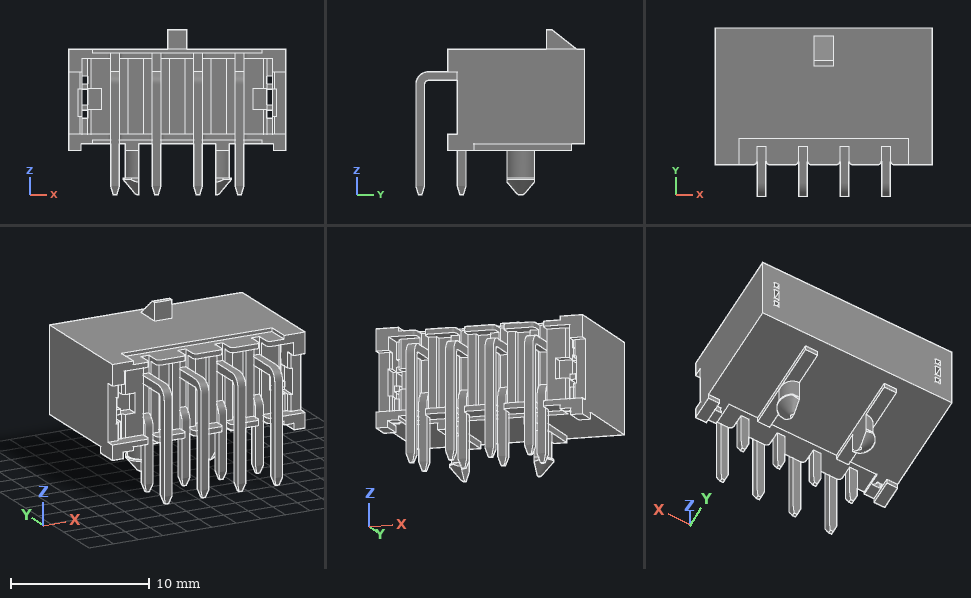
import cadquery as cq


WIDTH = 15.7
DEPTH = 9.92
TOP_Z = 7.35
BASE_Z = 0.5
HALF_WIDTH = WIDTH / 2

LIP_WIDTH = 12.28
LIP_LENGTH = 1.91
LIP_STEP = 0.28
LIP_CORNER_RADIUS = 0.3

OPENING_HALF_WIDTH = 6.88
OPENING_BOTTOM_Z = 1.19
OPENING_TOP_Z = 6.68
PIN_WALL_Y = 1.0

SIDE_SETBACK_Y = 0.69
SIDE_SETBACK_TOP_Z = 5.69
SIDE_CHAMFER_X = 0.17
SIDE_CHAMFER_Y = 0.22
SIDE_POCKET_X = 7.16
SIDE_POCKET_BOTTOM_Z = 2.48
SIDE_POCKET_TOP_Z = 4.47

SLOT_INNER_X = 6.48
SLOT_END_Y = 1.34
POCKET_END_Y = 1.9
PIN_WALL_CHAMFER = 0.23
WALL_POCKET_X = 5.48
WALL_POCKET_BOTTOM_Z = 2.97
WALL_POCKET_TOP_Z = 4.49
WINDOW_MIDDLE_Z = 3.87
SMALL_WINDOW_HEIGHT = 0.56
LARGE_WINDOW_HEIGHT = 1.12
WINDOW_BAR = 0.4

TIP_Z = -3.2

PIN_PITCH = 3.0
PIN_COUNT = 4
PIN_SIZE = 0.64
PIN_TAPER_LENGTH = 0.63
PIN_TIP_SIZE = 0.26
PIN_INNER_RADIUS = 0.3
PIN_OUTER_RADIUS = PIN_INNER_RADIUS + PIN_SIZE
PIN_ROOT_Y = 3.0
UPPER_PIN_FRONT_Y = -2.3
UPPER_PIN_TOP_Z = 5.72
PIN_XS = [(i - (PIN_COUNT - 1) / 2) * PIN_PITCH for i in range(PIN_COUNT)]

PIN_GROOVE_Y = SLOT_END_Y
RELIEF_WIDTH = 1.1
RELIEF_Y = 1.5

FOOT_WIDTH = 0.9
RAIL_INNER_X = 2.77
RAIL_END_Y = 8.97
PEG_RADIUS = 1.0
PEG_Y = 5.29
BARB_RADIUS = 1.14
BARB_TOP_Z = -1.98
BARB_CONE_Z = -2.1
PEG_NOSE_RADIUS = 0.3
PEG_NOSE_Z = -3.1
PEG_TIP_RADIUS = 0.15
RAIL_OUTER_X = RAIL_INNER_X + PEG_RADIUS

LATCH_WIDTH = 1.4
LATCH_TOP_Z = 8.76
LATCH_FRONT_Y = 7.15
LATCH_FLAT_END_Y = 7.54
LATCH_RAMP_END_Y = 9.33


def box(x0, x1, y0, y1, z0, z1):
    """Box between two opposite corners."""
    return cq.Workplane("XY").box(x1 - x0, y1 - y0, z1 - z0, centered=False).translate((x0, y0, z0))


def centred_box(x, width, y0, y1, z0, z1):
    """Box of a given width, centred on x."""
    return box(x - width / 2, x + width / 2, y0, y1, z0, z1)


def both_sides(body):
    """The body together with its mirror image in the middle plane."""
    return body.union(body.mirror("YZ"))


def prism(points, z0, z1):
    """Upright prism on an XY outline."""
    return cq.Workplane("XY").workplane(offset=z0).polyline(points).close().extrude(z1 - z0)


def lip_notch(x):
    """Notch through both lips in line with a pin, widening in a round at the front."""
    half = PIN_SIZE / 2
    notch = centred_box(x, PIN_SIZE, 0, PIN_GROOVE_Y, BASE_Z, TOP_Z)
    radius = LIP_CORNER_RADIUS
    corners = centred_box(x, PIN_SIZE + 2 * radius, 0, radius, BASE_Z, TOP_Z)
    for side in (-1, 1):
        rounding = cq.Workplane("XY").center(x + side * (half + radius), radius).circle(radius)
        corners = corners.cut(rounding.extrude(TOP_Z))
    return notch.union(corners)


def side_cuts():
    """Everything cut at the left end of the pin opening."""
    setback = box(-HALF_WIDTH, -OPENING_HALF_WIDTH, 0, SIDE_SETBACK_Y, OPENING_BOTTOM_Z, SIDE_SETBACK_TOP_Z)
    edge_chamfer = prism(
        [
            (-OPENING_HALF_WIDTH, SIDE_SETBACK_Y),
            (-OPENING_HALF_WIDTH - SIDE_CHAMFER_X, SIDE_SETBACK_Y),
            (-OPENING_HALF_WIDTH, SIDE_SETBACK_Y + SIDE_CHAMFER_Y),
        ],
        OPENING_BOTTOM_Z,
        SIDE_SETBACK_TOP_Z,
    )
    slot = prism(
        [
            (-OPENING_HALF_WIDTH, PIN_WALL_Y),
            (-SLOT_INNER_X + PIN_WALL_CHAMFER, PIN_WALL_Y),
            (-SLOT_INNER_X, PIN_WALL_Y + PIN_WALL_CHAMFER),
            (-SLOT_INNER_X, SLOT_END_Y),
            (-OPENING_HALF_WIDTH, SLOT_END_Y),
        ],
        BASE_Z,
        OPENING_TOP_Z,
    )
    deep_slot = box(
        -OPENING_HALF_WIDTH, -SLOT_INNER_X, SLOT_END_Y, POCKET_END_Y, WINDOW_MIDDLE_Z, OPENING_TOP_Z
    )
    side_pocket = box(
        -SIDE_POCKET_X,
        -OPENING_HALF_WIDTH,
        SIDE_SETBACK_Y,
        POCKET_END_Y,
        SIDE_POCKET_BOTTOM_Z,
        SIDE_POCKET_TOP_Z,
    )
    wall_pocket = box(
        -SLOT_INNER_X, -WALL_POCKET_X, PIN_WALL_Y, POCKET_END_Y, WALL_POCKET_BOTTOM_Z, WALL_POCKET_TOP_Z
    )
    cuts = setback.union(edge_chamfer).union(slot).union(deep_slot).union(side_pocket).union(wall_pocket)

    small_window_offset = LARGE_WINDOW_HEIGHT / 2 + WINDOW_BAR + SMALL_WINDOW_HEIGHT / 2
    windows = [
        (-small_window_offset, SMALL_WINDOW_HEIGHT),
        (0, LARGE_WINDOW_HEIGHT),
        (small_window_offset, SMALL_WINDOW_HEIGHT),
    ]
    for offset, height in windows:
        z0 = WINDOW_MIDDLE_Z + offset - height / 2
        cuts = cuts.union(box(-OPENING_HALF_WIDTH, -SLOT_INNER_X, SLOT_END_Y, DEPTH, z0, z0 + height))
    return cuts


def housing():
    """Housing block with its feet, pin opening, lips, grooves and windows."""
    body = box(-HALF_WIDTH, HALF_WIDTH, 0, DEPTH, BASE_Z, TOP_Z)
    foot = box(-HALF_WIDTH, -HALF_WIDTH + FOOT_WIDTH, 0, LIP_LENGTH, 0, BASE_Z)
    body = body.union(both_sides(foot))

    opening_width = 2 * OPENING_HALF_WIDTH
    body = body.cut(centred_box(0, opening_width, 0, PIN_WALL_Y, OPENING_BOTTOM_Z, OPENING_TOP_Z))
    body = body.cut(centred_box(0, LIP_WIDTH, 0, LIP_LENGTH, TOP_Z - LIP_STEP, TOP_Z))
    body = body.cut(centred_box(0, LIP_WIDTH, 0, LIP_LENGTH, BASE_Z, BASE_Z + LIP_STEP))
    body = body.cut(both_sides(side_cuts()))

    for x in PIN_XS:
        body = body.cut(lip_notch(x))
    for x in PIN_XS[:-1]:
        relief_x = x + PIN_PITCH / 2
        relief = centred_box(
            relief_x, RELIEF_WIDTH, PIN_WALL_Y, RELIEF_Y, OPENING_BOTTOM_Z, OPENING_TOP_Z
        )
        body = body.cut(relief)
    return body


def latch():
    """Latch ramp, falling toward the back of the housing."""
    profile = [
        (LATCH_FRONT_Y, TOP_Z),
        (LATCH_FRONT_Y, LATCH_TOP_Z),
        (LATCH_FLAT_END_Y, LATCH_TOP_Z),
        (LATCH_RAMP_END_Y, TOP_Z),
    ]
    return cq.Workplane("YZ").polyline(profile).close().extrude(LATCH_WIDTH / 2, both=True)


def peg():
    """Right-hand rail with its half-round barbed board peg."""
    rail = box(RAIL_INNER_X, RAIL_OUTER_X, LIP_LENGTH, RAIL_END_Y, 0, BASE_Z)
    profile = [
        (0, 0),
        (PEG_RADIUS, 0),
        (PEG_RADIUS, BARB_TOP_Z),
        (BARB_RADIUS, BARB_TOP_Z),
        (BARB_RADIUS, BARB_CONE_Z),
        (PEG_NOSE_RADIUS, PEG_NOSE_Z),
        (PEG_TIP_RADIUS, TIP_Z),
        (0, TIP_Z),
    ]
    post = cq.Workplane("XZ").polyline(profile).close().revolve(360, (0, 0, 0), (0, 1, 0))
    outer_half = box(0, BARB_RADIUS, -PEG_RADIUS, PEG_RADIUS, TIP_Z, 0)
    return rail.union(post.intersect(outer_half).translate((RAIL_INNER_X, PEG_Y, 0)))


def pin(x, front_y, top_z):
    """Square pin running out of the pin wall and bent down to a tapered tip."""
    back_y = front_y + PIN_SIZE
    bend_y = front_y + PIN_OUTER_RADIUS
    bend_z = top_z - PIN_OUTER_RADIUS
    taper_z = TIP_Z + PIN_TAPER_LENGTH
    diagonal = 0.5 ** 0.5
    outer_reach = PIN_OUTER_RADIUS * diagonal
    inner_reach = PIN_INNER_RADIUS * diagonal
    bent_bar = (
        cq.Workplane("YZ")
        .moveTo(front_y, taper_z)
        .lineTo(front_y, bend_z)
        .threePointArc((bend_y - outer_reach, bend_z + outer_reach), (bend_y, top_z))
        .lineTo(PIN_ROOT_Y, top_z)
        .lineTo(PIN_ROOT_Y, top_z - PIN_SIZE)
        .lineTo(bend_y, top_z - PIN_SIZE)
        .threePointArc((bend_y - inner_reach, bend_z + inner_reach), (back_y, bend_z))
        .lineTo(back_y, taper_z)
        .close()
        .extrude(PIN_SIZE / 2, both=True)
    )
    tip = (
        cq.Workplane("XY")
        .workplane(offset=taper_z)
        .center(0, front_y + PIN_SIZE / 2)
        .rect(PIN_SIZE, PIN_SIZE)
        .workplane(offset=-PIN_TAPER_LENGTH)
        .rect(PIN_TIP_SIZE, PIN_TIP_SIZE)
        .loft()
    )
    return bent_bar.union(tip).translate((x, 0, 0))


result = housing().union(latch()).union(both_sides(peg()))
for pin_x in PIN_XS:
    result = result.union(pin(pin_x, UPPER_PIN_FRONT_Y, UPPER_PIN_TOP_Z))
    result = result.union(pin(pin_x, UPPER_PIN_FRONT_Y + PIN_PITCH, UPPER_PIN_TOP_Z - PIN_PITCH))